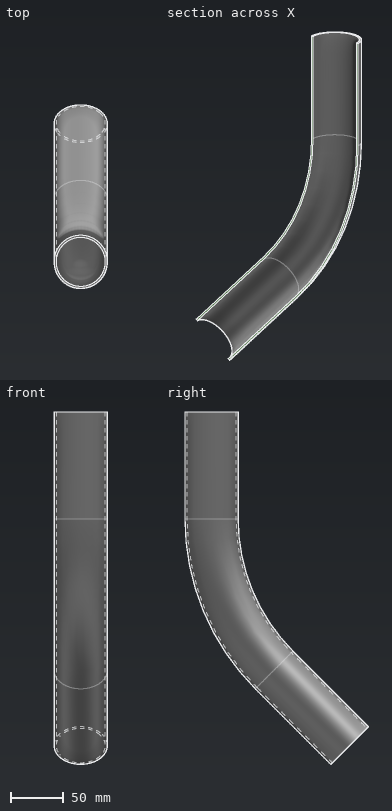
import cadquery as cq
import math

OUTER_DIAMETER = 50.8
WALL_THICKNESS = 2.11
BEND_RADIUS = 4 * OUTER_DIAMETER
LEG_LENGTH = 2 * OUTER_DIAMETER
BEND_ANGLE = 45.0

INNER_DIAMETER = OUTER_DIAMETER - 2 * WALL_THICKNESS


def bend_point(angle_degrees):
    """Centreline point (y, z) of the elbow, measured from its upper end at the origin."""
    angle = math.radians(angle_degrees)
    return BEND_RADIUS * (1 - math.cos(angle)), -BEND_RADIUS * math.sin(angle)


def tube_centreline():
    """Vertical leg down to the origin, elbow towards +Y, then the sloping leg."""
    bend_middle = bend_point(BEND_ANGLE / 2)
    bend_end = bend_point(BEND_ANGLE)
    slope = math.radians(BEND_ANGLE)
    lower_end = (
        bend_end[0] + LEG_LENGTH * math.sin(slope),
        bend_end[1] - LEG_LENGTH * math.cos(slope),
    )
    return (
        cq.Workplane("YZ")
        .moveTo(0, LEG_LENGTH)
        .lineTo(0, 0)
        .threePointArc(bend_middle, bend_end)
        .lineTo(*lower_end)
    )


def bent_tube():
    """Ring section at the upper end, swept along the centreline."""
    ring = (
        cq.Workplane("XY", origin=(0, 0, LEG_LENGTH))
        .circle(OUTER_DIAMETER / 2)
        .circle(INNER_DIAMETER / 2)
    )
    return ring.sweep(tube_centreline())


result = bent_tube()